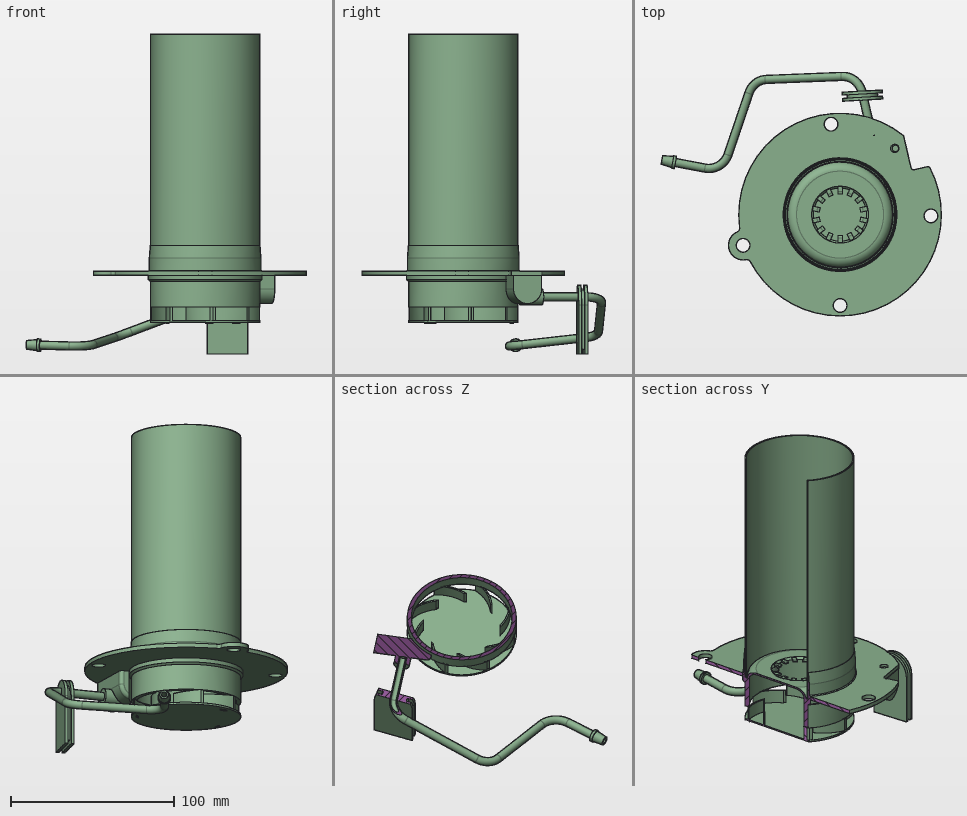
import cadquery as cq
import math


inlet_angle = 13

tube_radius = 33.5
tube_wall = 0.88
tube_top = 147.6

plate_radius = 62.0
plate_thickness = 2.5
bolt_circle_radius = 55.6
bolt_hole_radius = 4.1
bolt_hole_angles = (95.7, -0.8, -90)
lug_x = -59.3
lug_y = -18.8
lug_radius = 9.0
lug_blend_radius = 2.3
notch_corner = (43.9, 27.2)
notch_size = 39.2
notch_fillet = 1.5

cup_bottom = -19.4
bead_radius = 34.8
bead_bottom = -2.5
bead_taper_bottom = -3.7
collar_radius = 34.3
collar_straight_top = 10.5
collar_top = 18.2
collar_rim_radius = 33.7
collar_blend_height = 0.5

dome_radius = 32.1
dome_wall = 1.4
dome_fillet = 5.5
throat_radius = 17.5
throat_taper = 1.2
tooth_count = 14
tooth_width = 2.7
tooth_tip_radius = 12.7
tooth_bend_radius = 14.3
tooth_tip_drop = 0.8

vane_count = 8
vane_arc_radius = 26.2
vane_arc_center_distance = 14.7
first_vane_center_angle = -36
vane_thickness = 1.0
vane_inner_radius = 23.5
disc_top = -27.6
disc_thickness = 1.2
pad_vanes = (1, 4, 7)
pad_inner_radius = 29.2
pad_outer_radius = 30.7
pad_height = 0.5

pipe_radius = 2.5
pipe_bore_radius = 1.5
pipe_bend_radius = 12.5
pipe_axis_z = -13.1
pipe_tip = (-109.0, 33.5, -42.5)
pipe_corner_low = (-72.0, 26.5, -43.5)
pipe_corner_mid = (-53.0, 82.5, -37.2)
pipe_corner_high = (11.2, 85.0, pipe_axis_z)
nozzle_tip_radius = 2.7
nozzle_base_radius = 3.5
nozzle_length = 6.7
nozzle_bead_radius = 4.0
nozzle_bead_length = 1.8

block_start_u = 13.1
block_end_u = 48.5
block_front_v = 20.4
block_back_v = 38.0
block_bottom = -17.2
block_end_fillet = 2.3
boss_radius = 4.9
inlet_face_y = 48.2
pipe_insertion = 5.9
boss_length = 13.7
peg_x = 33.9
peg_y = 40.5
peg_radius = 2.0
peg_height = 1.4
peg_hole_radius = 2.5
peg_hole_offset = 0.4

grommet_x = 13.7
grommet_y = 72.8
grommet_angle = 3.2
grommet_half_width = 12.3
grommet_arc_z = -18.2
grommet_bottom = -48.2
grommet_length = 5.7
grommet_groove_width = 2.0
grommet_groove_depth = 3.0


def disc(radius, bottom, top):
    return cq.Workplane("XY").workplane(offset=bottom).circle(radius).extrude(top - bottom)


def on_circle(radius, degrees):
    angle = math.radians(degrees)
    return (radius * math.cos(angle), radius * math.sin(angle))


def rod(start, end, radius):
    """A round bar from one centre point to another."""
    axis = end - start
    return cq.Workplane(obj=cq.Solid.makeCylinder(radius, axis.Length, start, axis))


def make_tube():
    bore = disc(tube_radius - tube_wall, 0, tube_top)
    return disc(tube_radius, 0, tube_top).cut(bore)


def make_plate():
    lug = disc(lug_radius, 0, plate_thickness).translate((lug_x, lug_y, 0))
    plate = disc(plate_radius, 0, plate_thickness).union(lug)
    plate = plate.edges(cq.selectors.BoxSelector(
        (lug_x - lug_radius, lug_y - 2 * lug_radius, 0),
        (lug_x + 2 * lug_radius, lug_y + 2 * lug_radius, plate_thickness),
    )).edges("|Z").fillet(lug_blend_radius)

    notch = (
        cq.Workplane("XY")
        .rect(notch_size, notch_size, centered=False)
        .extrude(plate_thickness)
        .rotate((0, 0, 0), (0, 0, 1), inlet_angle)
        .translate((*notch_corner, 0))
    )
    plate = plate.cut(notch)
    notch_corners = cq.selectors.BoxSelector(
        (notch_corner[0] - notch_size / 4, notch_corner[1] - 2, 0),
        (notch_corner[0] + notch_size / 2, notch_corner[1] + notch_size, plate_thickness),
    )
    plate = plate.edges(notch_corners).edges("|Z").fillet(notch_fillet)

    bolt_centers = [on_circle(bolt_circle_radius, angle) for angle in bolt_hole_angles]
    bolt_centers.append((lug_x, lug_y))
    bolt_holes = (
        cq.Workplane("XY").pushPoints(bolt_centers).circle(bolt_hole_radius).extrude(plate_thickness)
    )
    peg_hole = disc(peg_hole_radius, 0, plate_thickness).translate((peg_x - peg_hole_offset, peg_y, 0))
    cup_hole = disc(bead_radius, 0, plate_thickness)
    return plate.cut(bolt_holes).cut(peg_hole).cut(cup_hole)


def make_tooth(index):
    """A finger that reaches into the throat, with a sloped tip."""
    underside = dome_fillet - dome_wall
    shoulder = dome_fillet - tooth_tip_drop / 2
    tooth = (
        cq.Workplane("XZ")
        .moveTo(throat_radius, underside)
        .lineTo(tooth_tip_radius, underside)
        .lineTo(tooth_tip_radius, dome_fillet - tooth_tip_drop)
        .lineTo(tooth_bend_radius, shoulder)
        .lineTo(throat_radius, shoulder)
        .close()
        .extrude(tooth_width / 2, both=True)
    )
    return tooth.rotate((0, 0, 0), (0, 0, 1), 90 + index * 360 / tooth_count)


def make_cup():
    dome_top = dome_fillet
    dome_flat_radius = dome_radius - dome_fillet
    outer_bend = on_circle(dome_fillet, 45)
    inner_bend = on_circle(dome_fillet - dome_wall, 45)
    cup = (
        cq.Workplane("XZ")
        .moveTo(dome_radius - dome_wall, cup_bottom)
        .lineTo(tube_radius, cup_bottom)
        .lineTo(tube_radius, bead_taper_bottom)
        .lineTo(bead_radius, bead_bottom)
        .lineTo(bead_radius, plate_thickness)
        .lineTo(collar_radius, plate_thickness + collar_blend_height)
        .lineTo(collar_radius, collar_straight_top)
        .lineTo(collar_rim_radius, collar_top)
        .lineTo(tube_radius, collar_top)
        .lineTo(tube_radius, 0)
        .lineTo(dome_radius, 0)
        .threePointArc((dome_flat_radius + outer_bend[0], outer_bend[1]), (dome_flat_radius, dome_top))
        .lineTo(throat_radius, dome_top)
        .lineTo(throat_radius - throat_taper, dome_top - dome_wall)
        .lineTo(dome_flat_radius, dome_top - dome_wall)
        .threePointArc((dome_flat_radius + inner_bend[0], inner_bend[1]), (dome_radius - dome_wall, 0))
        .close()
        .revolve(360, (0, 0, 0), (0, 1, 0))
    )
    for index in range(tooth_count):
        cup = cup.union(make_tooth(index))
    return cup


def vane_sector(index, inner_radius, outer_radius, bottom, top):
    """The stretch of one curved vane that lies between two radii about the tube axis."""
    center_angle = first_vane_center_angle + index * 360 / vane_count
    start_angle = 180
    end_angle = 290
    middle_angle = (start_angle + end_angle) / 2
    face = vane_arc_radius
    back = vane_arc_radius - vane_thickness
    band = (
        cq.Workplane("XY")
        .workplane(offset=bottom)
        .moveTo(*on_circle(face, start_angle))
        .threePointArc(on_circle(face, middle_angle), on_circle(face, end_angle))
        .lineTo(*on_circle(back, end_angle))
        .threePointArc(on_circle(back, middle_angle), on_circle(back, start_angle))
        .close()
        .extrude(top - bottom)
        .translate((vane_arc_center_distance, 0, 0))
        .rotate((0, 0, 0), (0, 0, 1), center_angle)
    )
    return band.intersect(disc(outer_radius, bottom, top)).cut(disc(inner_radius, bottom, top))


def make_swirl_disc():
    disc_bottom = disc_top - disc_thickness
    swirl_disc = disc(tube_radius, disc_bottom, disc_top)
    for index in range(vane_count):
        vane = vane_sector(index, vane_inner_radius, tube_radius, disc_top, cup_bottom)
        swirl_disc = swirl_disc.union(vane)
    for index in pad_vanes:
        pad = vane_sector(index, pad_inner_radius, pad_outer_radius, disc_bottom - pad_height, disc_bottom)
        swirl_disc = swirl_disc.union(pad)
    return swirl_disc


inlet_direction = cq.Vector(*on_circle(1, inlet_angle - 90), 0)


def on_inlet_axis(y):
    """The point of the pipe's last straight run at a given Y."""
    start = cq.Vector(*pipe_corner_high)
    return start + inlet_direction * ((y - start.y) / inlet_direction.y)


def bent_path(points):
    """A path through the points with every inner corner rounded to the bend radius."""
    edges = []
    start = points[0]
    for before, corner, after in zip(points, points[1:], points[2:]):
        back = (before - corner).normalized()
        ahead = (after - corner).normalized()
        half_angle = back.getAngle(ahead) / 2
        tangent_length = pipe_bend_radius / math.tan(half_angle)
        apex_distance = pipe_bend_radius / math.sin(half_angle) - pipe_bend_radius
        bend_start = corner + back * tangent_length
        bend_end = corner + ahead * tangent_length
        bend_apex = corner + (back + ahead).normalized() * apex_distance
        edges.append(cq.Edge.makeLine(start, bend_start))
        edges.append(cq.Edge.makeThreePointArc(bend_start, bend_apex, bend_end))
        start = bend_end
    edges.append(cq.Edge.makeLine(start, points[-1]))
    return cq.Wire.assembleEdges(edges)


def sweep_pipe(radius):
    inlet_end = on_inlet_axis(inlet_face_y) + inlet_direction * pipe_insertion
    corners = [pipe_tip, pipe_corner_low, pipe_corner_mid, pipe_corner_high]
    points = [cq.Vector(*corner) for corner in corners] + [inlet_end]
    section = cq.Workplane(cq.Plane(points[0], normal=points[1] - points[0])).circle(radius)
    return section.sweep(cq.Workplane(obj=bent_path(points)))


def make_pipe():
    tip = cq.Vector(*pipe_tip)
    direction = (cq.Vector(*pipe_corner_low) - tip).normalized()
    nozzle = cq.Solid.makeCone(nozzle_tip_radius, nozzle_base_radius, nozzle_length, tip, direction)
    bead_start = tip + direction * nozzle_length
    bead = rod(bead_start, bead_start + direction * nozzle_bead_length, nozzle_bead_radius)
    pipe = sweep_pipe(pipe_radius).union(cq.Workplane(obj=nozzle)).union(bead)
    return pipe.cut(sweep_pipe(pipe_bore_radius))


def make_inlet_block():
    round_radius = (block_back_v - block_front_v) / 2
    middle_v = (block_back_v + block_front_v) / 2
    round_center_z = block_bottom + round_radius
    body = (
        cq.Workplane("YZ")
        .workplane(offset=block_start_u)
        .moveTo(block_front_v, 0)
        .lineTo(block_front_v, round_center_z)
        .threePointArc((middle_v, block_bottom), (block_back_v, round_center_z))
        .lineTo(block_back_v, 0)
        .close()
        .extrude(block_end_u - block_start_u)
        .faces("<X").edges(">Y or <Z").fillet(block_end_fillet)
        .rotate((0, 0, 0), (0, 0, 1), inlet_angle)
    )
    cup_clearance = disc(bead_radius, block_bottom, 0)
    inlet_start = on_inlet_axis(inlet_face_y)
    boss = rod(inlet_start, inlet_start + inlet_direction * boss_length, boss_radius)
    peg = disc(peg_radius, 0, peg_height).translate((peg_x, peg_y, 0))
    return body.cut(cup_clearance).union(boss).union(peg).cut(sweep_pipe(pipe_radius))


def arch(inset, length):
    """An upright slab with a round top, set in from the grommet outline."""
    half_width = grommet_half_width - inset
    return (
        cq.Workplane("XZ")
        .moveTo(-half_width, grommet_bottom + inset)
        .lineTo(half_width, grommet_bottom + inset)
        .lineTo(half_width, grommet_arc_z)
        .threePointArc((0, grommet_arc_z + half_width), (-half_width, grommet_arc_z))
        .close()
        .extrude(length / 2, both=True)
    )


def make_grommet():
    groove = arch(0, grommet_groove_width).cut(arch(grommet_groove_depth, grommet_groove_width))
    grommet = (
        arch(0, grommet_length)
        .cut(groove)
        .rotate((0, 0, 0), (0, 0, 1), grommet_angle)
        .translate((grommet_x, grommet_y, 0))
    )
    return grommet.cut(sweep_pipe(pipe_radius))


tube = make_tube()
plate = make_plate()
cup = make_cup()
swirl_disc = make_swirl_disc()
pipe = make_pipe()
inlet_block = make_inlet_block()
grommet = make_grommet()

result = cq.Compound.makeCompound([
    tube.val(),
    plate.val(),
    cup.val(),
    swirl_disc.val(),
    pipe.val(),
    inlet_block.val(),
    grommet.val(),
])